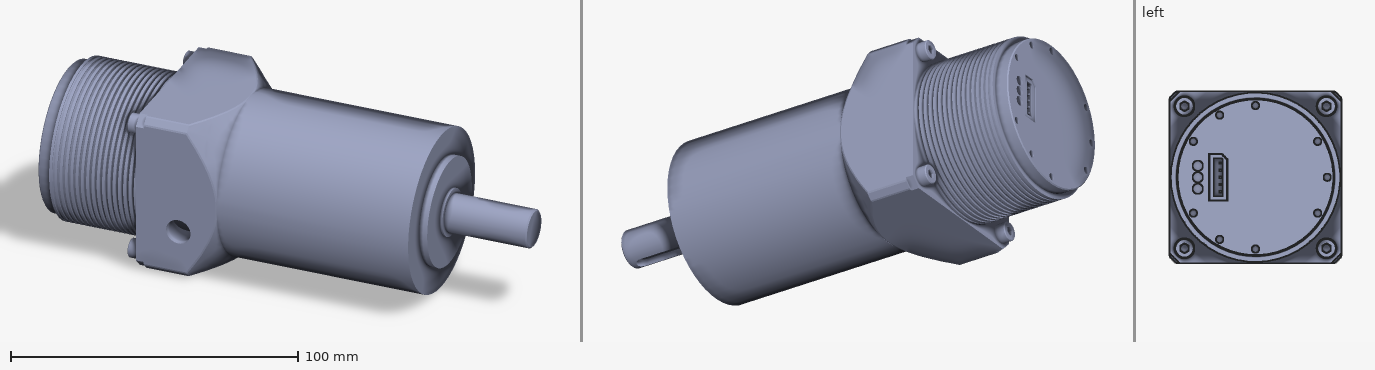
import cadquery as cq
import math


CAP_END = 5.0
PLATE_START = 38.0
HEAD_START = 41.0
CONE_END = 68.6
BODY_END = 141.0
PILOT_END = 144.0
COLLAR_END = 145.0
SHAFT_END = 176.0

BODY_RADIUS = 30.0
BODY_SIDE = 2 * BODY_RADIUS
CAP_RADIUS = 27.5
CAP_CHAMFER = 0.4
PILOT_RADIUS = 20.0
COLLAR_RADIUS = 8.75
SHAFT_RADIUS = 7.0
SHAFT_CHAMFER = 0.5
PLATE_CORNER = 3.6
HEAD_CORNER = 2.4
HEAD_EDGE_BREAK = 0.35
EDGE_TOLERANCE = 0.01
CONE_OVERLAP = 1.0
CONE_RUN_PER_RADIUS = 1.06

FIN_RADIUS = 29.5
FIN_ROOT_REAR_RADIUS = 29.2
FIN_ROOT_FRONT_RADIUS = 27.8
FIN_PITCH = 2.0
FIN_WIDTH = FIN_PITCH / 2
FIN_COUNT = 17

SCREW_CIRCLE_RADIUS = 35.0
SCREW_HEAD_RADIUS = 3.5
SCREW_HEAD_HEIGHT = 4.0
SCREW_HEAD_CHAMFER = 0.3
SOCKET_WIDTH = 3.0
SOCKET_DEPTH = 1.8
SOCKET_TIP_DEPTH = 0.8

CAP_HOLE_CIRCLE_RADIUS = 25.0
CAP_HOLE_RADIUS = 1.3
CAP_HOLE_DEPTH = 2.0
CAP_HOLE_STEP = 30
CAP_HOLE_SKIPPED = (90, 210, 330)
LAMP_Y = 20.1
LAMP_PITCH = 4.0
LAMP_RADIUS = 1.8
LAMP_DEPTH = 1.0

CONNECTOR_Y = 13.0
CONNECTOR_WIDTH = 6.5
CONNECTOR_HEIGHT = 16.5
CONNECTOR_DEPTH = 4.0
CONNECTOR_CORNER = 2.0
CONNECTOR_GAP = 0.3
HOUSING_WALL = 1.4
HOUSING_SETBACK = 0.5
PIN_COUNT = 5
PIN_PITCH = 2.5
PIN_Y = 12.3
PIN_SIDE = 0.64
PIN_LENGTH = 3.0

CABLE_HOLE_X = 54.1
CABLE_HOLE_Z = -11.8
CABLE_HOLE_RADIUS = 4.6
CABLE_HOLE_FLOOR_RADIUS = 26.0

KEY_WIDTH = 5.0
KEY_LENGTH = 25.0
KEY_DEPTH = 3.0
KEY_CENTER_X = 161.0


def section_plane(x):
    """Workplane across the axis: local x is Y, local y is Z, normal is +X."""
    return cq.Workplane("YZ", origin=(x, 0, 0))


def cylinder(x_start, x_end, radius):
    return section_plane(x_start).circle(radius).extrude(x_end - x_start)


def frustum(x_start, x_end, start_radius, end_radius):
    """Round section on the axis whose radius changes evenly along X."""
    return (
        cq.Workplane("XY")
        .moveTo(x_start, 0)
        .lineTo(x_start, start_radius)
        .lineTo(x_end, end_radius)
        .lineTo(x_end, 0)
        .close()
        .revolve(360, (0, 0, 0), (1, 0, 0))
    )


def square_block(x_start, x_end, corner):
    block = section_plane(x_start).rect(BODY_SIDE, BODY_SIDE).extrude(x_end - x_start)
    return block.edges("|X").chamfer(corner)


def make_finned_housing():
    housing = cylinder(0, CAP_END, CAP_RADIUS).faces("<X").chamfer(CAP_CHAMFER)
    root = frustum(CAP_END, PLATE_START, FIN_ROOT_REAR_RADIUS, FIN_ROOT_FRONT_RADIUS)
    housing = housing.union(root)
    for i in range(FIN_COUNT):
        fin_start = CAP_END + i * FIN_PITCH
        housing = housing.union(cylinder(fin_start, fin_start + FIN_WIDTH, FIN_RADIUS))
    return housing


def make_gear_head():
    """Square block turned down to the round body by a cone, with the flat sides' edges broken."""
    overlap_end = CONE_END + CONE_OVERLAP
    rear_radius = BODY_RADIUS + (CONE_END - HEAD_START) / CONE_RUN_PER_RADIUS
    overlap_radius = BODY_RADIUS - CONE_OVERLAP / CONE_RUN_PER_RADIUS
    block = square_block(HEAD_START, overlap_end, HEAD_CORNER)
    head = block.intersect(frustum(HEAD_START, overlap_end, rear_radius, overlap_radius))
    flat_sides = head.faces("<Y or >Y or <Z or >Z")
    side_outlines = flat_sides.edges().filter(
        lambda edge: edge.Center().x > HEAD_START + EDGE_TOLERANCE
    )
    return side_outlines.chamfer(HEAD_EDGE_BREAK)


def make_output_end():
    sections = cylinder(CONE_END, BODY_END, BODY_RADIUS)
    sections = sections.union(cylinder(BODY_END, PILOT_END, PILOT_RADIUS))
    sections = sections.union(cylinder(PILOT_END, COLLAR_END, COLLAR_RADIUS))
    return sections.union(make_shaft())


def make_shaft():
    shaft = cylinder(COLLAR_END, SHAFT_END, SHAFT_RADIUS)
    shaft = shaft.faces(">X").chamfer(SHAFT_CHAMFER)
    keyway = (
        cq.Workplane("XY", origin=(KEY_CENTER_X, 0, -SHAFT_RADIUS))
        .slot2D(KEY_LENGTH, KEY_WIDTH)
        .extrude(KEY_DEPTH)
    )
    return shaft.cut(keyway)


def make_plate_screws():
    offset = SCREW_CIRCLE_RADIUS / math.sqrt(2)
    centers = [(y, z) for y in (-offset, offset) for z in (-offset, offset)]
    head_start = PLATE_START - SCREW_HEAD_HEIGHT
    heads = (
        section_plane(head_start)
        .pushPoints(centers)
        .circle(SCREW_HEAD_RADIUS)
        .extrude(SCREW_HEAD_HEIGHT)
        .faces("<X")
        .chamfer(SCREW_HEAD_CHAMFER)
    )
    sockets = (
        section_plane(head_start)
        .pushPoints(centers)
        .polygon(6, SOCKET_WIDTH, circumscribed=True)
        .extrude(SOCKET_DEPTH)
    )
    for y, z in centers:
        tip = cq.Solid.makeCone(
            SOCKET_WIDTH / 2,
            0,
            SOCKET_TIP_DEPTH,
            pnt=cq.Vector(head_start + SOCKET_DEPTH, y, z),
            dir=cq.Vector(1, 0, 0),
        )
        sockets = sockets.union(cq.Workplane(obj=tip))
    return heads, sockets


def make_cap_holes():
    centers = []
    for angle in range(0, 360, CAP_HOLE_STEP):
        if angle not in CAP_HOLE_SKIPPED:
            turn = math.radians(angle)
            y = CAP_HOLE_CIRCLE_RADIUS * math.sin(turn)
            z = CAP_HOLE_CIRCLE_RADIUS * math.cos(turn)
            centers.append((y, z))
    return section_plane(0).pushPoints(centers).circle(CAP_HOLE_RADIUS).extrude(CAP_HOLE_DEPTH)


def make_lamp_recesses():
    centers = [(LAMP_Y, z) for z in (-LAMP_PITCH, 0, LAMP_PITCH)]
    return section_plane(0).pushPoints(centers).circle(LAMP_RADIUS).extrude(LAMP_DEPTH)


def make_connector_prism(x_start, inset):
    """Connector outline, shrunk by inset, from x_start to the pocket floor."""
    width = CONNECTOR_WIDTH - 2 * inset
    height = CONNECTOR_HEIGHT - 2 * inset
    prism = (
        section_plane(x_start)
        .center(CONNECTOR_Y, 0)
        .rect(width, height)
        .extrude(CONNECTOR_DEPTH - x_start)
    )
    return prism.edges("|X and <Y and >Z").chamfer(CONNECTOR_CORNER - inset)


def make_connector_housing():
    outer = make_connector_prism(HOUSING_SETBACK, CONNECTOR_GAP)
    cavity = make_connector_prism(HOUSING_SETBACK, CONNECTOR_GAP + HOUSING_WALL)
    pin_start = CONNECTOR_DEPTH - PIN_LENGTH
    middle = (PIN_COUNT - 1) / 2
    centers = [(PIN_Y, (i - middle) * PIN_PITCH) for i in range(PIN_COUNT)]
    pins = section_plane(pin_start).pushPoints(centers).rect(PIN_SIDE, PIN_SIDE).extrude(PIN_LENGTH)
    return outer.cut(cavity).union(pins)


def make_cable_hole():
    drill = (
        cq.Workplane("XZ", origin=(CABLE_HOLE_X, 0, CABLE_HOLE_Z))
        .circle(CABLE_HOLE_RADIUS)
        .extrude(BODY_RADIUS)
    )
    return drill.cut(cylinder(HEAD_START, CONE_END, CABLE_HOLE_FLOOR_RADIUS))


screw_heads, screw_sockets = make_plate_screws()

result = make_finned_housing()
result = result.union(square_block(PLATE_START, HEAD_START, PLATE_CORNER))
result = result.union(make_gear_head())
result = result.union(make_output_end())
result = result.union(screw_heads).cut(screw_sockets)
result = result.cut(make_cap_holes()).cut(make_lamp_recesses())
result = result.cut(make_connector_prism(0, 0)).union(make_connector_housing())
result = result.cut(make_cable_hole())